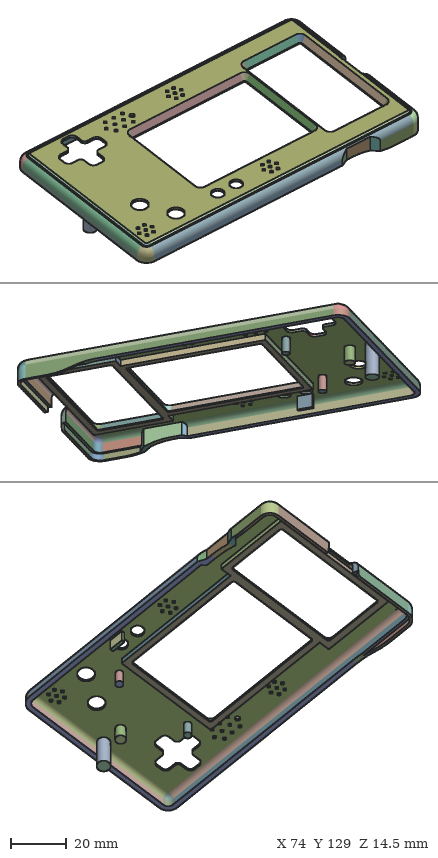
import cadquery as cq
import math


length = 129.0
width = 74.0
corner_radius = 4.5
rim_z = -6.3
skirt_z = -9.3
plate_thickness = 1.0
plate_middle_z = -plate_thickness / 2
below_all_z = 2 * skirt_z
lip_height = 0.8
lip_inset_bottom = 2.3
lip_inset_top = 3.6
edge_round = 3.0

wall = 2.0
thin_wall = 1.0
cavity_round = 1.9
step_z = -6.7

skirt_start_y = 51.2
skirt_end_y = 32.9

rear_notch_outer_half = 7.2
rear_notch_inner_half = 6.0
rear_notch_depth = 3.6
rear_notch_lower_half = 7.5
rear_notch_bottom_round = 1.2
selection_margin = 0.1
side_notch_y = 35.9
side_notch_outer_half = 8.8
side_notch_inner_half = 5.4
side_notch_depth = 1.5

frame_depth = 3.5
frame_slope_depth = 3.0
frame_wall = 1.0
frame_top_radius = 2.5
frame_bottom_radius = 0.8
upper_window = {"width": 51.6, "top": 59.0, "bottom": 30.0, "slope": 1.5}
lower_window = {"width": 42.5, "top": 29.5, "bottom": -26.3, "slope": 1.4}

pad_center = (-22.6, -44.8)
pad_span = 19.1
pad_arm = 6.5
pad_tip_radius = 2.0
pad_inner_radius = 1.5

small_button_diameter = 5.0
small_buttons = [(27.1, -14.0), (27.1, -22.6)]
large_button_diameter = 6.5
large_buttons = [(26.5, -41.4), (14.5, -48.4)]
speaker_hole_diameter = 1.2
speaker_ring_radius = 3.0
speaker_centers = [(-27.2, 1.7), (27.1, 1.7), (27.1, -56.0)]
microphone_diameter = 1.9
grille_center = (-27.0, -26.3)
grille_pitch = 4.0
grille_column_offset = 3.1

post_z = -7.1
post_root_z = -0.9
locating_pin = (0.0, -59.7, 5.0, -14.5)
center_boss = (0.0, -51.0, 4.0, post_z)
left_peg = (-16.0, -32.8, 3.0, post_z)
right_peg = (18.2, -32.8, 3.0, post_z)

rib_x = 29.9
rib_thickness = 1.3
rib_front_y = -23.9
rib_rear_y = -17.9


def rounded_block(inset, z_top, z_bottom):
    """Block with the shell outline moved inwards, between two heights."""
    return (
        cq.Workplane("XY", origin=(0, 0, z_bottom))
        .rect(width - 2 * inset, length - 2 * inset)
        .extrude(z_top - z_bottom)
        .edges("|Z")
        .fillet(corner_radius - inset)
    )


def rounded_frustum(center_y, z_low, low, z_high, high):
    """Loft between two rounded rectangles, each given as (width, length, corner radius)."""
    low_sketch = cq.Sketch().rect(low[0], low[1]).vertices().fillet(low[2])
    high_sketch = cq.Sketch().rect(high[0], high[1]).vertices().fillet(high[2])
    rise = cq.Location(cq.Vector(0, 0, z_high - z_low))
    base = cq.Workplane("XY", origin=(0, center_y, z_low))
    return base.placeSketch(low_sketch, high_sketch.moved(rise)).loft()


def outer_body():
    body = rounded_block(0, -lip_height, skirt_z).faces(">Z").edges().fillet(edge_round)
    lip_low = (
        width - 2 * lip_inset_bottom,
        length - 2 * lip_inset_bottom,
        corner_radius - lip_inset_bottom,
    )
    lip_high = (width - 2 * lip_inset_top, length - 2 * lip_inset_top, corner_radius - lip_inset_top)
    return body.union(rounded_frustum(0, -lip_height, lip_low, 0, lip_high))


def skirt_relief():
    """Everything below the rim in front of the S-shaped rear skirt."""
    middle = ((skirt_start_y + skirt_end_y) / 2, (rim_z + skirt_z) / 2)
    return (
        cq.Workplane("YZ", origin=(-width, 0, 0))
        .moveTo(-length, rim_z)
        .lineTo(skirt_end_y, rim_z)
        .tangentArcPoint(middle, relative=False)
        .tangentArcPoint((skirt_start_y, skirt_z), relative=False)
        .lineTo(skirt_start_y, below_all_z)
        .lineTo(-length, below_all_z)
        .close()
        .extrude(2 * width)
    )


def through_prism(points):
    """Prism through the whole shell height over a closed outline."""
    return cq.Workplane("XY", origin=(0, 0, below_all_z)).polyline(points).close().extrude(2 * -below_all_z)


def side_notch(margin):
    """Notch in the +X side; a margin grows it to the wall that backs it."""
    outer_x = width / 2
    inner_x = outer_x - side_notch_depth - margin
    return through_prism([
        (outer_x, side_notch_y - side_notch_outer_half - margin),
        (inner_x, side_notch_y - side_notch_inner_half - margin),
        (inner_x, side_notch_y + side_notch_inner_half + margin),
        (outer_x, side_notch_y + side_notch_outer_half + margin),
    ])


def rear_notch():
    """Tapered notch in the +Y end, widened below the wall step."""
    outer_y = length / 2
    inner_y = outer_y - rear_notch_depth
    upper = through_prism([
        (-rear_notch_outer_half, outer_y),
        (-rear_notch_inner_half, inner_y),
        (rear_notch_inner_half, inner_y),
        (rear_notch_outer_half, outer_y),
    ])
    lower = (
        cq.Workplane("XY", origin=(0, outer_y, skirt_z))
        .rect(2 * rear_notch_lower_half, 2 * rear_notch_depth)
        .extrude(step_z - skirt_z)
    )
    return upper.union(lower)


def cavity():
    upper = rounded_block(wall, -plate_thickness, step_z)
    upper = upper.faces(">Z").edges().fillet(cavity_round)
    lower = rounded_block(thin_wall, step_z, below_all_z)
    return upper.union(lower).cut(side_notch(wall))


def window_parts(window):
    """Frame block under the plate and the sloped opening through it."""
    opening_length = window["top"] - window["bottom"]
    center_y = (window["top"] + window["bottom"]) / 2
    shrink = 2 * window["slope"]
    bottom_size = (window["width"] - shrink, opening_length - shrink, frame_bottom_radius)
    top_size = (window["width"], opening_length, frame_top_radius)
    slope = rounded_frustum(center_y, -frame_slope_depth, bottom_size, 0, top_size)
    land = (
        cq.Workplane("XY", origin=(0, center_y, -frame_depth))
        .rect(bottom_size[0], bottom_size[1])
        .extrude(frame_depth - frame_slope_depth)
        .edges("|Z")
        .fillet(frame_bottom_radius)
    )
    opening = slope.union(land)
    frame = (
        cq.Workplane("XY", origin=(0, center_y, -frame_depth))
        .rect(window["width"] + 2 * frame_wall, opening_length + 2 * frame_wall)
        .extrude(plate_middle_z + frame_depth)
    )
    return frame, opening


def post(x, y, diameter, bottom_z):
    base = cq.Workplane("XY", origin=(x, y, bottom_z))
    return base.circle(diameter / 2).extrude(post_root_z - bottom_z)


def button_rib():
    rib_length = rib_rear_y - rib_front_y
    rib = cq.Workplane("XY").box(rib_thickness, rib_length, plate_middle_z - rim_z, centered=False)
    return rib.translate((rib_x, rib_front_y, rim_z))


def drill(points, diameter):
    below_plate = cq.Workplane("XY", origin=(0, 0, -frame_depth))
    return below_plate.pushPoints(points).circle(diameter / 2).extrude(frame_depth)


def direction_pad():
    """Cross with rounded arm tips and rounded inner corners."""

    def arm(size_x, size_y):
        block = cq.Workplane("XY").box(size_x, size_y, 2 * frame_depth)
        return block.edges("|Z").fillet(pad_tip_radius)

    core = cq.selectors.BoxSelector(
        (-pad_arm, -pad_arm, -frame_depth),
        (pad_arm, pad_arm, frame_depth),
    )
    cross = arm(pad_span, pad_arm).union(arm(pad_arm, pad_span))
    rounded = cross.edges("|Z").edges(core).fillet(pad_inner_radius)
    return rounded.translate((pad_center[0], pad_center[1], 0))


def speaker_points(center):
    ring = [
        (
            center[0] + speaker_ring_radius * math.sin(math.radians(60 * i)),
            center[1] + speaker_ring_radius * math.cos(math.radians(60 * i)),
        )
        for i in range(6)
    ]
    return [center] + ring


def grille_points():
    x, y = grille_center
    points = []
    for row in (-1, 0, 1):
        row_y = y + row * grille_pitch
        points.append((x, row_y))
        points.append((x - grille_column_offset, row_y + grille_pitch / 2))
        points.append((x + grille_column_offset, row_y + grille_pitch / 2))
    return points


notch_mouth = cq.selectors.BoxSelector(
    (-rear_notch_lower_half - selection_margin, length / 2 - rear_notch_depth, skirt_z - selection_margin),
    (rear_notch_lower_half + selection_margin, length / 2, skirt_z + selection_margin),
)
result = outer_body().cut(rear_notch())
result = result.edges(notch_mouth).edges("|Y").fillet(rear_notch_bottom_round)
result = result.cut(cavity()).cut(skirt_relief()).cut(side_notch(0))

windows = [window_parts(window) for window in (upper_window, lower_window)]
for frame, _ in windows:
    result = result.union(frame)
for _, opening in windows:
    result = result.cut(opening)

for x, y, diameter, bottom_z in (locating_pin, center_boss, left_peg, right_peg):
    result = result.union(post(x, y, diameter, bottom_z))
result = result.union(button_rib())

result = result.cut(direction_pad())
result = result.cut(drill(small_buttons, small_button_diameter))
result = result.cut(drill(large_buttons, large_button_diameter))
for center in speaker_centers:
    result = result.cut(drill(speaker_points(center), speaker_hole_diameter))
result = result.cut(drill(grille_points(), speaker_hole_diameter))
microphone = (grille_center[0], grille_center[1] + 2 * grille_pitch)
result = result.cut(drill([microphone], microphone_diameter))